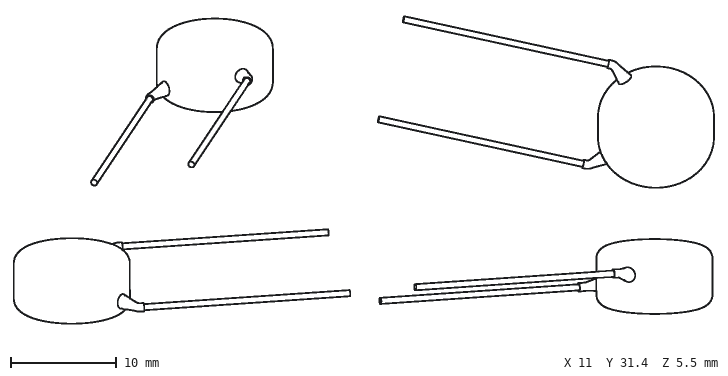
import cadquery as cq
import math

total_length = 31.35
disc_diameter = 11.0
disc_height = 5.5
rim_fillet = 1.0
disc_radius = disc_diameter / 2

wire_radius = 0.3
lead_offset_x = 4.75
lead_offset_z = 1.5
lead_end_y = disc_radius - total_length

sleeve_radius = 0.4
cone_large_radius = 0.85
cone_length = 2.23
collar_end_y = -5.9
corner_y = -5.35
bend_tangent = 0.28

corner = cq.Vector(-lead_offset_x, corner_y, -lead_offset_z)
leg_direction = cq.Vector(0, 1, 0)
cone_direction = cq.Vector(0.61, 0.8, 0.22).normalized()
lead_angles = (0, 180)

bend_start = corner - leg_direction * bend_tangent
bend_end = corner + cone_direction * bend_tangent
cone_end = bend_end + cone_direction * cone_length

bend_angle = leg_direction.getAngle(cone_direction)
bend_radius = bend_tangent / math.tan(bend_angle / 2)
corner_to_arc = bend_radius * (1 / math.cos(bend_angle / 2) - 1)
bisector = (cone_direction - leg_direction).normalized()
bend_middle = corner + bisector * corner_to_arc


def make_bent_rod(start_y, radius, inner_end=None):
    """Round rod from start_y through the bend, and on to inner_end if given."""
    start = cq.Vector(-lead_offset_x, start_y, -lead_offset_z)
    edges = [
        cq.Edge.makeLine(start, bend_start),
        cq.Edge.makeThreePointArc(bend_start, bend_middle, bend_end),
    ]
    if inner_end is not None:
        edges.append(cq.Edge.makeLine(bend_end, inner_end))
    path = cq.Wire.assembleEdges(edges)
    section = cq.Workplane(cq.Plane(origin=start, xDir=(1, 0, 0), normal=leg_direction))
    return section.circle(radius).sweep(cq.Workplane(path))


def turn_about_y(shape, angle):
    return shape.rotate((0, 0, 0), (0, 1, 0), angle)


def make_sleeve(angle):
    """Collar and elbow, joined to a cone that runs into the disc."""
    elbow = make_bent_rod(collar_end_y, sleeve_radius)
    cone = cq.Solid.makeCone(sleeve_radius, cone_large_radius, cone_length, bend_end, cone_direction)
    return turn_about_y(elbow.union(cq.Workplane(cone)), angle)


def make_lead(angle):
    """Bent wire from its free end to the inner end of the cone."""
    return turn_about_y(make_bent_rod(lead_end_y, wire_radius, cone_end), angle)


def make_coating(leads):
    """Rounded disc with both sleeves, hollowed to fit the leads."""
    disc = cq.Workplane("XY").cylinder(disc_height, disc_radius)
    coating = disc.edges("%CIRCLE").fillet(rim_fillet)
    for angle in lead_angles:
        coating = coating.union(make_sleeve(angle))
    for lead in leads:
        coating = coating.cut(lead)
    return coating.solids()


leads = [make_lead(angle) for angle in lead_angles]
coating = make_coating(leads)

result = cq.Compound.makeCompound([coating.val(), *[lead.val() for lead in leads]])